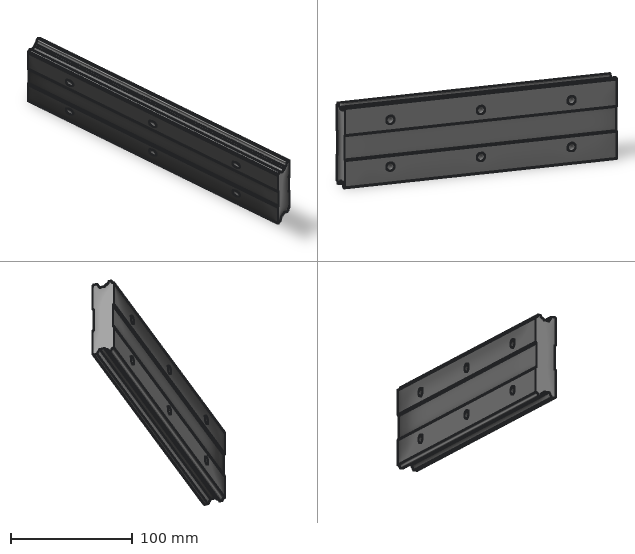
import cadquery as cq
import math

LENGTH = 240.0
THICKNESS = 19.0
HEIGHT = 69.0
HALF_THICKNESS = THICKNESS / 2
HALF_HEIGHT = HEIGHT / 2

BAND_DEPTH = 1.0
BAND_FLOOR_HALF_HEIGHT = 10.0
BAND_MOUTH_HALF_HEIGHT = BAND_FLOOR_HALF_HEIGHT + BAND_DEPTH

FRONT_CHAMFER = 1.0
COVE_RADIUS = 2.2
RIM_FILLET_RADIUS = 0.3
COVE_DEPTH = COVE_RADIUS + RIM_FILLET_RADIUS
COVE_CENTRE_Z = HALF_HEIGHT - RIM_FILLET_RADIUS

GROOVE_DEPTH = 4.0
GROOVE_MOUTH_FRONT_Y = -5.5
GROOVE_WALL_ANGLE = math.radians(60.0)
GROOVE_FLOOR_FRONT_Y = GROOVE_MOUTH_FRONT_Y + GROOVE_DEPTH / math.tan(GROOVE_WALL_ANGLE)
RAMP_TOP_Y = 2.5
GROOVE_FLOOR_BACK_Y = RAMP_TOP_Y - (GROOVE_DEPTH - COVE_DEPTH)

RIM_FRONT_Y = RAMP_TOP_Y + COVE_RADIUS
RIM_BACK_Y = HALF_THICKNESS - COVE_RADIUS

HOLE_DIAMETER = 7.0
HOLE_COLUMNS = 3
HOLE_ROWS = 2
HOLE_PITCH_X = 80.0
HOLE_PITCH_Z = 40.0


def upper_half():
    """Bar above its mid-height: the cross-section in YZ, extruded along X."""
    floor_z = HALF_HEIGHT - GROOVE_DEPTH
    cove_floor_z = HALF_HEIGHT - COVE_DEPTH
    band_y = HALF_THICKNESS - BAND_DEPTH

    cove_offset = COVE_RADIUS * math.sqrt(0.5)
    cove_middle_z = COVE_CENTRE_Z - cove_offset
    fillet_inset = RIM_FILLET_RADIUS * (1 - math.sqrt(0.5))
    fillet_middle_z = HALF_HEIGHT - fillet_inset

    return (
        cq.Workplane("YZ", origin=(-LENGTH / 2, 0, 0))
        .moveTo(-band_y, 0)
        .lineTo(-band_y, BAND_FLOOR_HALF_HEIGHT)
        .lineTo(-HALF_THICKNESS, BAND_MOUTH_HALF_HEIGHT)
        .lineTo(-HALF_THICKNESS, HALF_HEIGHT - FRONT_CHAMFER)
        .lineTo(-HALF_THICKNESS + FRONT_CHAMFER, HALF_HEIGHT)
        .lineTo(GROOVE_MOUTH_FRONT_Y, HALF_HEIGHT)
        .lineTo(GROOVE_FLOOR_FRONT_Y, floor_z)
        .lineTo(GROOVE_FLOOR_BACK_Y, floor_z)
        .lineTo(RAMP_TOP_Y, cove_floor_z)
        .threePointArc((RAMP_TOP_Y + cove_offset, cove_middle_z), (RIM_FRONT_Y, COVE_CENTRE_Z))
        .threePointArc(
            (RIM_FRONT_Y + fillet_inset, fillet_middle_z),
            (RIM_FRONT_Y + RIM_FILLET_RADIUS, HALF_HEIGHT),
        )
        .lineTo(RIM_BACK_Y - RIM_FILLET_RADIUS, HALF_HEIGHT)
        .threePointArc((RIM_BACK_Y - fillet_inset, fillet_middle_z), (RIM_BACK_Y, COVE_CENTRE_Z))
        .threePointArc((HALF_THICKNESS - cove_offset, cove_middle_z), (HALF_THICKNESS, cove_floor_z))
        .lineTo(HALF_THICKNESS, BAND_MOUTH_HALF_HEIGHT)
        .lineTo(band_y, BAND_FLOOR_HALF_HEIGHT)
        .lineTo(band_y, 0)
        .close()
        .extrude(LENGTH)
    )


def make_bar():
    """Full bar, symmetric about its mid-height plane."""
    upper = upper_half()
    return upper.union(upper.mirror("XY")).clean()


def make_holes():
    """Grid of cylinders along Y that pierce the whole thickness."""
    return (
        cq.Workplane("XZ")
        .rarray(HOLE_PITCH_X, HOLE_PITCH_Z, HOLE_COLUMNS, HOLE_ROWS)
        .circle(HOLE_DIAMETER / 2)
        .extrude(HALF_THICKNESS, both=True)
    )


result = make_bar().cut(make_holes())